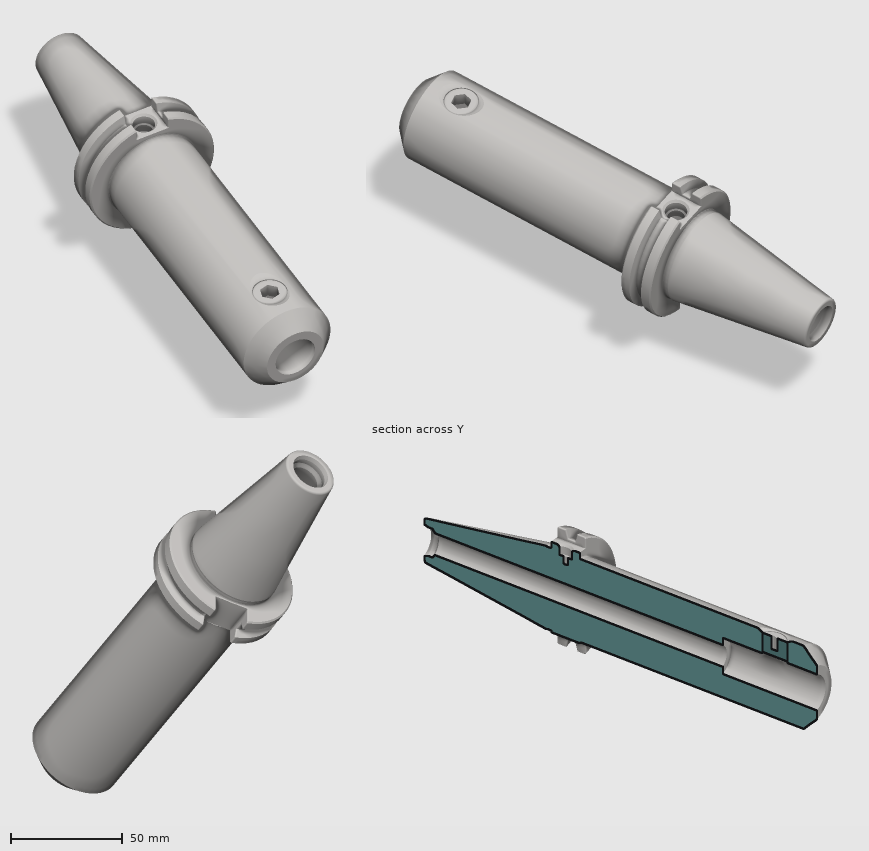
import cadquery as cq
import math

TOLERANCE = 0.0002

total_length = 220.6

taper_length = 68.2
taper_large_diameter = 44.4
taper_ratio = 7 / 24
taper_small_diameter = taper_large_diameter - taper_ratio * taper_length
taper_end_fillet = 1.0
neck_diameter = 44.0
neck_cone_length = 0.9
face_fillet = 0.7

flange_start = 71.3
flange_end = 87.4
flange_diameter = 63.5
flange_edge_chamfer = 0.7
groove_center = 79.5
groove_mouth_width = 6.5
groove_floor_width = 4.0
groove_floor_diameter = 55.5

slot_width = 16.0
top_slot_floor_height = 25.0
bottom_slot_floor_height = 22.5
slot_edge_fillet = 0.55

dimple_diameter = 10.1
dimple_mouth_diameter = 12.1
dimple_depth = 5.0
dimple_drill_diameter = 8.0
dimple_drill_depth = 8.8
drill_point_angle = 118.0

body_diameter = 44.4
nose_chamfer = 7.7

mouth_diameter = 17.9
mouth_chamfer_depth = 2.0
pilot_diameter = 16.5
pilot_depth = 4.5
pilot_cone_depth = 1.5
thread_diameter = 13.5
tool_bore_diameter = 20.0
tool_bore_depth = 53.0

screw_x = 196.8
screw_diameter = 15.9
screw_top = 20.3
screw_bottom = tool_bore_diameter / 2
screw_edge_chamfer = 0.5
socket_across_flats = 8.0
socket_depth = 6.6
socket_turn = -15.0
countersink_diameter = 22.0
countersink_height = body_diameter / 2
countersink_half_angle = 60.0


def turned(points):
    """Solid of revolution about X from an outline of (x, radius) points."""
    return cq.Workplane("XY").polyline(points).close().revolve(360, (0, 0, 0), (1, 0, 0))


def upright_turned(x, points):
    """Solid of revolution about the vertical line at x from an outline of (radius, z) points."""
    outline = cq.Workplane("XZ", origin=(x, 0, 0)).polyline(points).close()
    return outline.revolve(360, (0, 0, 0), (0, 1, 0))


def outer_shape():
    flange_radius = flange_diameter / 2
    body_radius = body_diameter / 2
    return turned([
        (0, 0),
        (0, taper_small_diameter / 2),
        (taper_length, taper_large_diameter / 2),
        (taper_length + neck_cone_length, neck_diameter / 2),
        (flange_start, neck_diameter / 2),
        (flange_start, flange_radius - flange_edge_chamfer),
        (flange_start + flange_edge_chamfer, flange_radius),
        (groove_center - groove_mouth_width / 2, flange_radius),
        (groove_center - groove_floor_width / 2, groove_floor_diameter / 2),
        (groove_center + groove_floor_width / 2, groove_floor_diameter / 2),
        (groove_center + groove_mouth_width / 2, flange_radius),
        (flange_end - flange_edge_chamfer, flange_radius),
        (flange_end, flange_radius - flange_edge_chamfer),
        (flange_end, body_radius),
        (total_length - nose_chamfer, body_radius),
        (total_length, body_radius - nose_chamfer),
        (total_length, 0),
    ])


def axial_bores():
    tool_bore_start = total_length - tool_bore_depth
    return turned([
        (0, 0),
        (0, mouth_diameter / 2),
        (mouth_chamfer_depth, pilot_diameter / 2),
        (pilot_depth, pilot_diameter / 2),
        (pilot_depth + pilot_cone_depth, thread_diameter / 2),
        (tool_bore_start, thread_diameter / 2),
        (tool_bore_start, tool_bore_diameter / 2),
        (total_length, tool_bore_diameter / 2),
        (total_length, 0),
    ])


def drive_slot(floor_height, side):
    """Slot through the flange; side is 1 above the axis and -1 below it."""
    length = flange_end - flange_start
    height = flange_diameter / 2
    slot = (
        cq.Workplane("XY", origin=(flange_start, 0, floor_height))
        .box(length, slot_width, height, centered=(False, True, False))
    )
    return slot if side > 0 else slot.mirror("XY")


def slot_dimple():
    """Countersunk, stepped blind hole with a conical bottom."""
    radius = dimple_diameter / 2
    mouth_chamfer = (dimple_mouth_diameter - dimple_diameter) / 2
    wall_bottom = top_slot_floor_height - dimple_depth
    drill_radius = dimple_drill_diameter / 2
    drill_bottom = top_slot_floor_height - dimple_drill_depth
    point_depth = drill_radius / math.tan(math.radians(drill_point_angle / 2))
    return upright_turned((flange_start + flange_end) / 2, [
        (0, top_slot_floor_height),
        (dimple_mouth_diameter / 2, top_slot_floor_height),
        (radius, top_slot_floor_height - mouth_chamfer),
        (radius, wall_bottom),
        (drill_radius, wall_bottom),
        (drill_radius, drill_bottom),
        (0, drill_bottom - point_depth),
    ])


def screw_hole():
    """Hole from the tool bore to the outside, with a conical countersink."""
    radius = screw_diameter / 2
    countersink_radius = countersink_diameter / 2
    cone_depth = (countersink_radius - radius) / math.tan(math.radians(countersink_half_angle))
    return upright_turned(screw_x, [
        (0, 0),
        (radius, 0),
        (radius, countersink_height - cone_depth),
        (countersink_radius, countersink_height),
        (0, countersink_height),
    ])


def is_flange_face_corner(edge):
    """True for the circles where the neck and the body meet the flange faces."""
    at_face = any(abs(edge.Center().x - x) < TOLERANCE for x in (flange_start, flange_end))
    return at_face and edge.radius() < body_diameter / 2 + TOLERANCE


def is_slot_wall_edge(edge):
    """True for the edges of a slot wall, apart from the one along the slot floor."""
    center = edge.Center()
    on_wall = abs(abs(center.y) - slot_width / 2) < TOLERANCE
    slot_floors = (top_slot_floor_height, -bottom_slot_floor_height)
    along_floor = any(abs(center.z - floor) < TOLERANCE for floor in slot_floors)
    return on_wall and not along_floor


def build_holder():
    rounded = (
        outer_shape()
        .edges("%CIRCLE").filter(is_flange_face_corner).fillet(face_fillet)
        .faces("<X").edges().fillet(taper_end_fillet)
    )
    slotted = (
        rounded
        .cut(drive_slot(top_slot_floor_height, 1))
        .cut(drive_slot(bottom_slot_floor_height, -1))
    )
    return (
        slotted.edges().filter(is_slot_wall_edge).fillet(slot_edge_fillet)
        .cut(axial_bores())
        .cut(slot_dimple())
        .cut(screw_hole())
    )


def build_screw():
    """Set screw with a hexagon socket in its top."""
    socket = (
        cq.Workplane("XY", origin=(0, 0, screw_top - socket_depth))
        .polygon(6, socket_across_flats / math.cos(math.pi / 6))
        .extrude(socket_depth)
        .rotate((0, 0, 0), (0, 0, 1), socket_turn)
    )
    return (
        cq.Workplane("XY", origin=(0, 0, screw_bottom))
        .circle(screw_diameter / 2)
        .extrude(screw_top - screw_bottom)
        .faces(">Z")
        .chamfer(screw_edge_chamfer)
        .cut(socket)
        .translate((screw_x, 0, 0))
    )


holder = build_holder()
screw = build_screw()
result = cq.Compound.makeCompound([holder.val(), screw.val()])